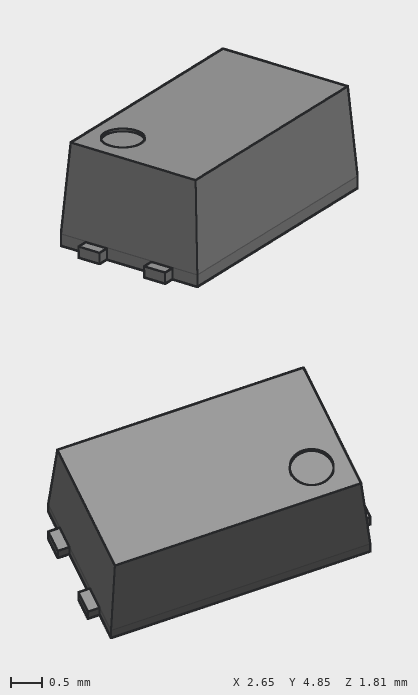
import cadquery as cq

total_length = 4.85
body_width = 2.65
total_height = 1.81

lead_projection = 0.2
body_length = total_length - 2 * lead_projection
base_height = 0.215
cover_height = total_height - base_height
top_inset = 0.11

lead_width = 0.405
lead_height = 0.2
lead_pitch = 1.27

marker_diameter = 0.7
marker_depth = 0.05
marker_x = -0.625
marker_y = -1.505


def make_body():
    """Rectangular base with a cover that narrows towards the top."""
    base = cq.Workplane("XY").box(body_width, body_length, base_height, centered=(True, True, False))
    cover = (
        cq.Workplane("XY", origin=(0, 0, base_height))
        .rect(body_width, body_length)
        .workplane(offset=cover_height)
        .rect(body_width - 2 * top_inset, body_length - 2 * top_inset)
        .loft(ruled=True)
    )
    return base.union(cover)


def make_leads():
    """Two bars running through the base, each projecting at both ends as a lead."""
    return (
        cq.Workplane("XY")
        .rarray(lead_pitch, 0.05, 2, 1)
        .rect(lead_width, total_length)
        .extrude(lead_height)
    )


def make_marker():
    """Disc removed from the top face beside the first lead."""
    return (
        cq.Workplane("XY", origin=(marker_x, marker_y, total_height - marker_depth))
        .circle(marker_diameter / 2)
        .extrude(marker_depth)
    )


result = make_body().union(make_leads()).cut(make_marker())